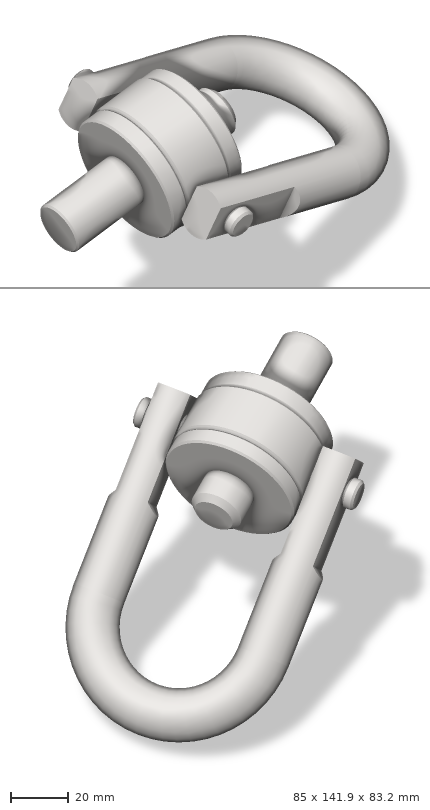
import cadquery as cq


body_diameter = 50.8
body_half_length = 9.9
body_chamfer = 1.0

shank_diameter = 20.0
shank_end_y = -48.8
shank_chamfer = 0.7
flange_diameter = 49.8
flange_chamfer = 0.7
stud_flange_thickness = 7.2
retaining_diameter = 19.1
retaining_end_y = 29.1
retaining_chamfer = 2.3

collar_thickness = 6.4

bar_diameter = 19.0
bend_radius = 31.8
bend_start = 64.7
arm_tail = 11.6
swing_angle = 30.0
arm_inner_face_x = 25.7
arm_outer_face_x = 38.1
flat_length = 29.0

pin_diameter = 9.9
pin_depth_in_body = 8.5
pin_end_x = 42.5
pin_head_diameter = 11.2
pin_head_length = 3.5
pin_head_chamfer = 0.9

pin_inner_x = body_diameter / 2 - pin_depth_in_body
SIDES = (-1, 1)


def cylinder_y(diameter, y_from, y_to):
    """Cylinder on the Y axis between two Y positions, the first below the second."""
    return cq.Workplane("XZ", origin=(0, y_from, 0)).circle(diameter / 2).extrude(y_from - y_to)


def cylinder_x(diameter, x_from, x_to):
    """Cylinder on the X axis between two X positions, the first below the second."""
    return cq.Workplane("YZ", origin=(x_from, 0, 0)).circle(diameter / 2).extrude(x_to - x_from)


def flange(y_from, y_to):
    """Disc with both rims chamfered."""
    return cylinder_y(flange_diameter, y_from, y_to).edges().chamfer(flange_chamfer)


def make_pin(side):
    """Headed pin along +X, mirrored to -X for the negative side."""
    shaft = cylinder_x(pin_diameter, pin_inner_x, pin_end_x - pin_head_length)
    head = cylinder_x(pin_head_diameter, pin_end_x - pin_head_length, pin_end_x)
    pin = shaft.union(head.faces(">X").chamfer(pin_head_chamfer))
    return pin if side > 0 else pin.mirror("YZ")


def make_stud():
    """Shank, flange and the thinner end that carries the body and the collar."""
    flange_outer_y = -body_half_length - stud_flange_thickness
    shank = cylinder_y(shank_diameter, shank_end_y, flange_outer_y).faces("<Y").chamfer(shank_chamfer)
    retaining_end = cylinder_y(retaining_diameter, -body_half_length, retaining_end_y)
    retaining_end = retaining_end.faces(">Y").chamfer(retaining_chamfer)
    return shank.union(flange(flange_outer_y, -body_half_length)).union(retaining_end)


def make_collar():
    """Ring on the retaining end of the stud."""
    outer_y = body_half_length + collar_thickness
    bore = cylinder_y(retaining_diameter, body_half_length, outer_y)
    return flange(body_half_length, outer_y).cut(bore)


def make_body():
    """Chamfered barrel with a bore for the stud and a blind hole for each pin."""
    body = cylinder_y(body_diameter, -body_half_length, body_half_length).edges().chamfer(body_chamfer)
    body = body.cut(cylinder_y(retaining_diameter, -body_half_length, body_half_length))
    for side in SIDES:
        body = body.cut(make_pin(side))
    return body


def flat_cutter(side, face_x, direction):
    """Prism that cuts one arm flat at face_x, ending in a 45 degree run-out, removing toward direction."""
    reach = bar_diameter / 2
    far_x = face_x + direction * reach
    profile = [
        (side * face_x, -arm_tail),
        (side * far_x, -arm_tail),
        (side * far_x, flat_length + reach),
        (side * face_x, flat_length),
    ]
    return cq.Workplane("XY").polyline(profile).close().extrude(bar_diameter / 2, both=True)


def make_shackle():
    """U-shaped bar with flatted, drilled arms, built level and then swung down about the pin axis."""
    path = (
        cq.Workplane("XY")
        .moveTo(-bend_radius, -arm_tail)
        .lineTo(-bend_radius, bend_start)
        .threePointArc((0, bend_start + bend_radius), (bend_radius, bend_start))
        .lineTo(bend_radius, -arm_tail)
    )
    start = cq.Workplane("XZ", origin=(-bend_radius, -arm_tail, 0))
    shackle = start.circle(bar_diameter / 2).sweep(path)
    for side in SIDES:
        shackle = shackle.cut(flat_cutter(side, arm_outer_face_x, 1))
        shackle = shackle.cut(flat_cutter(side, arm_inner_face_x, -1))
    arm_reach = bend_radius + bar_diameter / 2
    shackle = shackle.cut(cylinder_x(pin_diameter, -arm_reach, arm_reach))
    return shackle.rotate((0, 0, 0), (1, 0, 0), -swing_angle)


body = make_body()
stud = make_stud()
collar = make_collar()
shackle = make_shackle()
pins = [make_pin(side) for side in SIDES]

result = cq.Compound.makeCompound(
    [body.val(), stud.val(), collar.val(), shackle.val(), *[pin.val() for pin in pins]]
)